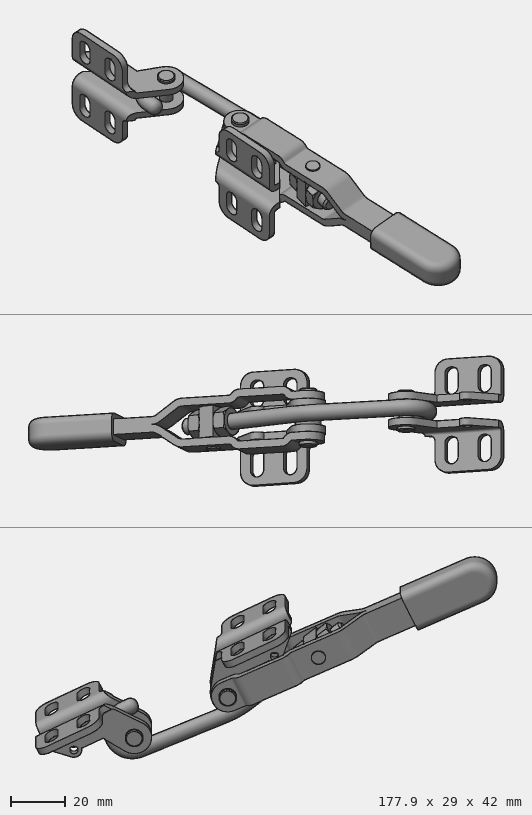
import cadquery as cq
import math


PIVOT_Y = 16.7
KEEPER_PIN_X = -38.3
PIN_DIAMETER = 5.0
HEAD_DIAMETER = 6.5
HEAD_CHAMFER = 0.4

BRACKET_LENGTH = 26.0
BRACKET_HALF_HEIGHT = 21.0
BRACKET_SHEET = 2.7
BRACKET_GAP_HALF = 3.45
BRACKET_OUTER_Z = BRACKET_GAP_HALF + BRACKET_SHEET
BEND_INNER_RADIUS = 1.0
BEND_OUTER_RADIUS = BEND_INNER_RADIUS + BRACKET_SHEET
FLANGE_CORNER_RADIUS = 5.0
FLANGE_NECK_RADIUS = 2.0
PIN_TO_FAR_EDGE = 31.9
PIN_TO_NEAR_EDGE = PIN_TO_FAR_EDGE - BRACKET_LENGTH
EYE_RADIUS = 6.4
FAR_EDGE_HEIGHT = 5.4
EAR_TO_FAR_EDGE = 10.0
EAR_X = PIN_TO_FAR_EDGE - EAR_TO_FAR_EDGE
EAR_Y = 11.2
EAR_RADIUS = 2.9
EAR_HOLE_DIAMETER = 3.0
SHOULDER_Y = 11.9
SHOULDER_X = 10.3
FOOT_X = 4.0
SLOT_WIDTH = 5.2
SLOT_LENGTH = 10.2
SLOT_INSET = 6.5
SLOT_Z = 12.9

KEEPER_HEAD_Z = 7.4
BASE_HEAD_Z = 10.6
KEEPER_SPACER_DIAMETER = PIN_DIAMETER
BASE_SPACER_DIAMETER = 9.5

LEVER_TILT = 1.7
LEVER_WIDTH = 12.0
LEVER_SHEET = 2.9
LEVER_ARM_Z = BRACKET_OUTER_Z + LEVER_SHEET
LEVER_BULGE_Z = 11.1
BULGE_RISE_START = 4.4
BULGE_RISE_END = 6.4
BULGE_FALL_START = 26.2
BULGE_FALL_END = 28.2
TAPER_START = 48.5
TAPER_END = 57.5
JOGGLE_RADIUS = 0.9
TAPER_RADIUS = 3.0
BEND_PICK = 0.1
GRIP_START = 73.3
GRIP_END = 107.74
GRIP_WIDTH = 16.2
GRIP_THICKNESS = 10.4
GRIP_EDGE_RADIUS = 3.0

TRUNNION_DISTANCE = 36.6
TRUNNION_LENGTH = 6.0
TRUNNION_HEIGHT = 10.0
TRUNNION_HALF_WIDTH = 5.8
TRUNNION_PIN_DIAMETER = 5.2
TRUNNION_PIN_Z = 9.6

ROD_DIAMETER = 6.0
ROD_TOP_Y = 28.95
ROD_RISE_ANGLE = 3.1
ROD_FALL_ANGLE = 12.5
CREST_RADIUS = 33.0
HOOK_LEFT_X = -46.4
HOOK_UPPER_RADIUS = 7.2
HOOK_LOWER_RADIUS = 9.1
HOOK_JOIN_ANGLE = 168.0
HOOK_TAIL_END_X = -32.3
HOOK_TIP_FILLET = 2.7
ROD_TAIL_LENGTH = 12.4
ROD_TIP_CHAMFER = 0.8
NUT_ACROSS_FLATS = 10.0
NUT_ACROSS_CORNERS = NUT_ACROSS_FLATS / math.cos(math.radians(30))
NUT_HEIGHT = 5.0
NUT_CHAMFER_ANGLE = 30.0

EXTRUDE_HALF = 30.0


def polar(radius, angle):
    """Point at the given distance and angle (degrees) from the origin."""
    return cq.Vector(radius * math.cos(math.radians(angle)), radius * math.sin(math.radians(angle)))


def cylinder_z(diameter, half_length, x=0.0, y=PIVOT_Y):
    """Cylinder along Z, centred on Z = 0."""
    return cq.Workplane("XY").center(x, y).circle(diameter / 2).extrude(half_length, both=True)


def through_z(outline):
    """Extrude a closed XY outline right through the part in Z."""
    return outline.extrude(EXTRUDE_HALF, both=True)


def angle_section():
    """L-shaped sheet: upright web on the +Z side with a flange lying on Y = 0."""
    height = PIVOT_Y + EYE_RADIUS
    length = PIN_TO_FAR_EDGE + EYE_RADIUS
    section = (
        cq.Workplane("YZ", origin=(-EYE_RADIUS, 0, 0))
        .moveTo(height, BRACKET_GAP_HALF)
        .lineTo(BEND_OUTER_RADIUS, BRACKET_GAP_HALF)
        .radiusArc((0, BRACKET_GAP_HALF + BEND_OUTER_RADIUS), BEND_OUTER_RADIUS)
        .lineTo(0, BRACKET_HALF_HEIGHT)
        .lineTo(BRACKET_SHEET, BRACKET_HALF_HEIGHT)
        .lineTo(BRACKET_SHEET, BRACKET_OUTER_Z + BEND_INNER_RADIUS)
        .radiusArc((BRACKET_SHEET + BEND_INNER_RADIUS, BRACKET_OUTER_Z), -BEND_INNER_RADIUS)
        .lineTo(height, BRACKET_OUTER_Z)
        .close()
    )
    return section.extrude(length)


def tangent_point(center, radius, outside, side):
    """Point where a line from `outside` touches a circle; `side` is +1 or -1."""
    reach = outside - center
    base_angle = math.degrees(math.atan2(reach.y, reach.x))
    opening = math.degrees(math.acos(radius / reach.Length))
    return center + polar(radius, base_angle + side * opening)


def web_outline():
    """Side outline of the bracket web: pin eye, shoulder, ear and sloped ends."""
    eye = cq.Vector(0, PIVOT_Y)
    ear = cq.Vector(EAR_X, EAR_Y)
    foot = cq.Vector(FOOT_X, 0)
    shoulder = cq.Vector(SHOULDER_X, SHOULDER_Y)
    far_top = cq.Vector(PIN_TO_FAR_EDGE, FAR_EDGE_HEIGHT)
    eye_foot = tangent_point(eye, EYE_RADIUS, foot, -1)
    eye_shoulder = tangent_point(eye, EYE_RADIUS, shoulder, 1)
    ear_far = tangent_point(ear, EAR_RADIUS, far_top, 1)
    ear_shoulder = ear - cq.Vector(math.sqrt(EAR_RADIUS**2 - (SHOULDER_Y - EAR_Y) ** 2), EAR_Y - SHOULDER_Y)
    return (
        cq.Workplane("XY")
        .moveTo(foot.x, foot.y)
        .lineTo(eye_foot.x, eye_foot.y)
        .threePointArc((-EYE_RADIUS, PIVOT_Y), (eye_shoulder.x, eye_shoulder.y))
        .lineTo(shoulder.x, shoulder.y)
        .lineTo(ear_shoulder.x, ear_shoulder.y)
        .threePointArc((EAR_X, EAR_Y + EAR_RADIUS), (ear_far.x, ear_far.y))
        .lineTo(far_top.x, far_top.y)
        .lineTo(PIN_TO_FAR_EDGE, 0)
        .close()
    )


def flange_trim():
    """Material beside the flange that is removed so the flange stops short of the pin eye."""
    neck_z = BRACKET_GAP_HALF + BEND_OUTER_RADIUS
    trim = (
        cq.Workplane("XZ")
        .moveTo(PIN_TO_NEAR_EDGE, BRACKET_HALF_HEIGHT)
        .lineTo(PIN_TO_NEAR_EDGE, neck_z + FLANGE_NECK_RADIUS)
        .radiusArc((PIN_TO_NEAR_EDGE - FLANGE_NECK_RADIUS, neck_z), FLANGE_NECK_RADIUS)
        .lineTo(-EYE_RADIUS, neck_z)
        .lineTo(-EYE_RADIUS, BRACKET_HALF_HEIGHT)
        .close()
    )
    return trim.extrude(EXTRUDE_HALF, both=True)


def bracket_half():
    """One bent bracket sheet on the +Z side, pin at X = 0 and flange toward +X."""
    half = angle_section().intersect(through_z(web_outline())).cut(flange_trim())
    half = half.edges("|Y").edges(">Z").fillet(FLANGE_CORNER_RADIUS)
    slot_x = [PIN_TO_NEAR_EDGE + SLOT_INSET, PIN_TO_FAR_EDGE - SLOT_INSET]
    slots = (
        cq.Workplane("XZ")
        .pushPoints([(x, SLOT_Z) for x in slot_x])
        .slot2D(SLOT_LENGTH, SLOT_WIDTH, 90)
        .extrude(-BRACKET_SHEET)
    )
    return half.cut(slots).cut(cylinder_z(EAR_HOLE_DIAMETER, EXTRUDE_HALF, EAR_X, EAR_Y))


def cross_pin(head_z, sheets_z, spacer_diameter):
    """Headed pin at X = 0 with a spacer between the bracket webs."""
    shank = cylinder_z(PIN_DIAMETER, sheets_z)
    spacer = cylinder_z(spacer_diameter, BRACKET_GAP_HALF)
    heads = cylinder_z(HEAD_DIAMETER, head_z).cut(cylinder_z(HEAD_DIAMETER, sheets_z))
    heads = heads.faces("<Z or >Z").chamfer(HEAD_CHAMFER)
    return shank.union(spacer).union(heads)


def bracket(head_z, sheets_z, spacer_diameter):
    """Pair of bracket sheets riveted together by their cross pin."""
    half = bracket_half()
    return half.union(half.mirror("XY")).union(cross_pin(head_z, sheets_z, spacer_diameter))


def offset_points(points, distance):
    """Points of an open polyline moved sideways, with mitred corners."""
    headings = [math.atan2(b[1] - a[1], b[0] - a[0]) for a, b in zip(points, points[1:])]
    moved = []
    for index, (x, z) in enumerate(points):
        before = headings[max(index - 1, 0)]
        after = headings[min(index, len(headings) - 1)]
        middle = (before + after) / 2
        reach = distance / math.cos((after - before) / 2)
        moved.append((x + reach * math.sin(middle), z - reach * math.cos(middle)))
    return moved


def round_bend(sheet, corner, radius):
    """Fillet the edge along Y that passes through the (x, z) corner."""
    x, z = corner
    around = cq.selectors.BoxSelector(
        (x - BEND_PICK, -BEND_PICK, z - BEND_PICK),
        (x + BEND_PICK, BEND_PICK, z + BEND_PICK),
    )
    return sheet.edges("|Y").edges(around).fillet(radius)


def lever_sheet():
    """One bent lever strip on the +Z side, along X from the pivot."""
    outer = [
        (-LEVER_WIDTH / 2, LEVER_ARM_Z),
        (BULGE_RISE_START, LEVER_ARM_Z),
        (BULGE_RISE_END, LEVER_BULGE_Z),
        (BULGE_FALL_START, LEVER_BULGE_Z),
        (BULGE_FALL_END, LEVER_ARM_Z),
        (TAPER_START, LEVER_ARM_Z),
        (TAPER_END, LEVER_SHEET),
        (GRIP_START, LEVER_SHEET),
    ]
    inner = offset_points(outer, LEVER_SHEET)
    sheet = cq.Workplane("XZ").polyline(outer + inner[::-1]).close().extrude(LEVER_WIDTH / 2, both=True)
    for index in range(1, len(outer) - 1):
        before, corner, after = (cq.Vector(*point) for point in outer[index - 1:index + 2])
        bends_inward = (corner - before).cross(after - corner).z < 0
        inside = TAPER_RADIUS if corner.x >= TAPER_START else JOGGLE_RADIUS
        outside = inside + LEVER_SHEET
        outer_radius, inner_radius = (outside, inside) if bends_inward else (inside, outside)
        sheet = round_bend(sheet, outer[index], outer_radius)
        sheet = round_bend(sheet, inner[index], inner_radius)
    outline = (
        cq.Workplane("XY")
        .moveTo(0, -LEVER_WIDTH / 2)
        .lineTo(GRIP_START, -LEVER_WIDTH / 2)
        .lineTo(GRIP_START, LEVER_WIDTH / 2)
        .lineTo(0, LEVER_WIDTH / 2)
        .threePointArc((-LEVER_WIDTH / 2, 0), (0, -LEVER_WIDTH / 2))
        .close()
    )
    return sheet.intersect(through_z(outline))


def grip():
    """Rounded handle grip closing the end of the lever."""
    radius = GRIP_WIDTH / 2
    outline = (
        cq.Workplane("XY")
        .moveTo(GRIP_START, -radius)
        .lineTo(GRIP_END - radius, -radius)
        .threePointArc((GRIP_END, 0), (GRIP_END - radius, radius))
        .lineTo(GRIP_START, radius)
        .close()
    )
    body = outline.extrude(GRIP_THICKNESS / 2, both=True)
    return body.faces("<Z or >Z").edges("not <X").fillet(GRIP_EDGE_RADIUS)


def lever():
    """Both lever strips with the grip, tilted about the pivot."""
    sheet = lever_sheet()
    body = sheet.union(sheet.mirror("XY")).union(grip())
    holes = cylinder_z(PIN_DIAMETER, EXTRUDE_HALF, 0, 0)
    holes = holes.union(cylinder_z(TRUNNION_PIN_DIAMETER, EXTRUDE_HALF, TRUNNION_DISTANCE, 0))
    body = body.cut(holes)
    return body.rotate((0, 0, 0), (0, 0, 1), LEVER_TILT).translate((0, PIVOT_Y, 0))


TRUNNION = cq.Vector(0, PIVOT_Y) + polar(TRUNNION_DISTANCE, LEVER_TILT)
ROD_PLANE = cq.Plane(
    origin=TRUNNION.toTuple(),
    xDir=(0, 0, 1),
    normal=polar(1, -ROD_FALL_ANGLE).toTuple(),
)


def trunnion():
    """Block with side pins that carries the rod inside the lever."""
    block = (
        cq.Workplane(ROD_PLANE)
        .rect(2 * TRUNNION_HALF_WIDTH, TRUNNION_HEIGHT)
        .extrude(TRUNNION_LENGTH / 2, both=True)
    )
    block = block.union(cylinder_z(TRUNNION_PIN_DIAMETER, TRUNNION_PIN_Z, TRUNNION.x, TRUNNION.y))
    bore = cq.Workplane(ROD_PLANE).circle(ROD_DIAMETER / 2).extrude(TRUNNION_LENGTH, both=True)
    return block.cut(bore)


def rod_path():
    """Rod centreline from the threaded end back over the crest and round the hook."""
    tail = TRUNNION + polar(ROD_TAIL_LENGTH, -ROD_FALL_ANGLE)
    crest_center_y = ROD_TOP_Y - ROD_DIAMETER / 2 - CREST_RADIUS
    fall_radial = polar(CREST_RADIUS, 90 - ROD_FALL_ANGLE)
    drop = crest_center_y + fall_radial.y - TRUNNION.y
    fall_x = TRUNNION.x - drop / math.tan(math.radians(ROD_FALL_ANGLE))
    crest_center = cq.Vector(fall_x - fall_radial.x, crest_center_y)
    crest_end = crest_center + fall_radial
    crest_top = crest_center + cq.Vector(0, CREST_RADIUS)
    crest_start = crest_center + polar(CREST_RADIUS, 90 + ROD_RISE_ANGLE)

    lower_center_x = HOOK_LEFT_X + HOOK_LOWER_RADIUS
    center_shift = polar(HOOK_LOWER_RADIUS - HOOK_UPPER_RADIUS, HOOK_JOIN_ANGLE)
    upper_center_x = lower_center_x + center_shift.x
    hook_radial = polar(HOOK_UPPER_RADIUS, 90 + ROD_RISE_ANGLE)
    hook_start_x = upper_center_x + hook_radial.x
    hook_start_y = crest_start.y - (crest_start.x - hook_start_x) * math.tan(math.radians(ROD_RISE_ANGLE))
    upper_center = cq.Vector(upper_center_x, hook_start_y - hook_radial.y)
    lower_center = upper_center - center_shift
    upper_middle = upper_center + polar(HOOK_UPPER_RADIUS, 135)
    join = upper_center + polar(HOOK_UPPER_RADIUS, HOOK_JOIN_ANGLE)
    lower_middle = lower_center + polar(HOOK_LOWER_RADIUS, 225)
    lower_end = lower_center + polar(HOOK_LOWER_RADIUS, 270)
    return (
        cq.Workplane("XY")
        .moveTo(tail.x, tail.y)
        .lineTo(crest_end.x, crest_end.y)
        .threePointArc(crest_top.toTuple()[:2], crest_start.toTuple()[:2])
        .lineTo(hook_start_x, hook_start_y)
        .threePointArc(upper_middle.toTuple()[:2], join.toTuple()[:2])
        .threePointArc(lower_middle.toTuple()[:2], lower_end.toTuple()[:2])
        .lineTo(HOOK_TAIL_END_X, lower_end.y)
    )


def nut(start):
    """Hexagon nut on the rod, starting at that distance past the trunnion centre."""
    hexagon = (
        cq.Workplane(ROD_PLANE)
        .workplane(offset=start)
        .polygon(6, NUT_ACROSS_CORNERS)
        .extrude(NUT_HEIGHT)
    )
    chamfer_width = (NUT_ACROSS_CORNERS - NUT_ACROSS_FLATS) / 2
    chamfer_depth = chamfer_width * math.tan(math.radians(NUT_CHAMFER_ANGLE))
    envelope = (
        cq.Workplane(ROD_PLANE)
        .workplane(offset=start)
        .circle(NUT_ACROSS_CORNERS / 2)
        .extrude(NUT_HEIGHT)
    )
    ends = envelope.faces(cq.selectors.ParallelDirSelector(ROD_PLANE.zDir))
    return hexagon.intersect(ends.chamfer(chamfer_depth, chamfer_width))


def hook_rod():
    """Bent rod with its hook and the two nuts that clamp the trunnion."""
    tail_tip = TRUNNION + polar(ROD_TAIL_LENGTH, -ROD_FALL_ANGLE)
    rod_section = cq.Workplane(ROD_PLANE).workplane(offset=ROD_TAIL_LENGTH).circle(ROD_DIAMETER / 2)
    rod = rod_section.sweep(rod_path())
    rod = rod.faces(cq.selectors.NearestToPointSelector(tail_tip.toTuple())).chamfer(ROD_TIP_CHAMFER)
    hook_tip = (HOOK_TAIL_END_X, PIVOT_Y - HOOK_LOWER_RADIUS, 0)
    rod = rod.faces(cq.selectors.NearestToPointSelector(hook_tip)).edges().fillet(HOOK_TIP_FILLET)
    for start in (TRUNNION_LENGTH / 2, -TRUNNION_LENGTH / 2 - NUT_HEIGHT):
        rod = rod.union(nut(start))
    return rod


base_body = bracket(BASE_HEAD_Z, LEVER_ARM_Z, BASE_SPACER_DIAMETER)
keeper_body = bracket(KEEPER_HEAD_Z, BRACKET_OUTER_Z, KEEPER_SPACER_DIAMETER)
keeper_body = keeper_body.mirror("YZ").translate((KEEPER_PIN_X, 0, 0))
lever_body = lever()
trunnion_body = trunnion()
rod_body = hook_rod()

result = cq.Compound.makeCompound([
    base_body.solids().val(),
    keeper_body.solids().val(),
    lever_body.solids().val(),
    trunnion_body.solids().val(),
    rod_body.solids().val(),
])